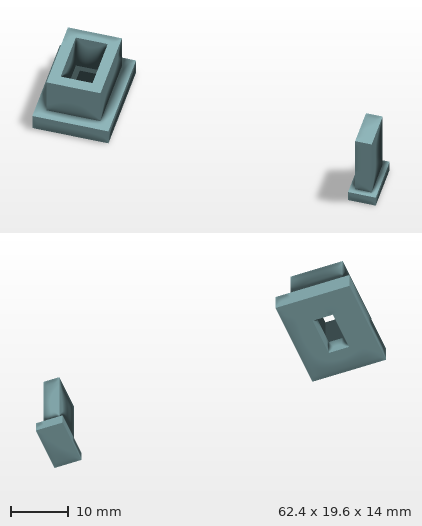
import cadquery as cq

TOTAL_X = 62.35
TOTAL_Y = 19.6

STEM_X = 3.0
STEM_Y = 7.0
PLUNGER_HEIGHT = 14.0
FOOT_THICKNESS = 2.0
LEDGE = 1.0
FOOT_X = STEM_X + 2 * LEDGE
FOOT_Y = STEM_Y + 2 * LEDGE

CLEARANCE = 0.75
WALL = 2.0
FLANGE_MARGIN = 2.0
FLANGE_THICKNESS = 3.0
HOUSING_HEIGHT = 10.0
WINDOW_X = STEM_X + CLEARANCE
WINDOW_Y = STEM_Y + CLEARANCE
POCKET_X = FOOT_X + CLEARANCE
POCKET_Y = FOOT_Y + CLEARANCE
COLLAR_X = POCKET_X + 2 * WALL
COLLAR_Y = POCKET_Y + 2 * WALL
FLANGE_X = COLLAR_X + 2 * FLANGE_MARGIN
FLANGE_Y = COLLAR_Y + 2 * FLANGE_MARGIN

PLUNGER_OFFSET_X = TOTAL_X - (FLANGE_X + FOOT_X) / 2
PLUNGER_OFFSET_Y = -(TOTAL_Y - (FLANGE_Y + FOOT_Y) / 2)


def block(size_x, size_y, bottom, top):
    """Rectangular block centered on the Z axis, from bottom to top."""
    return cq.Workplane("XY").workplane(offset=bottom).rect(size_x, size_y).extrude(top - bottom)


def make_housing():
    """Flanged collar with a pocket from the top and a smaller window through the floor."""
    flange = block(FLANGE_X, FLANGE_Y, 0, FLANGE_THICKNESS)
    collar = block(COLLAR_X, COLLAR_Y, 0, HOUSING_HEIGHT)
    pocket = block(POCKET_X, POCKET_Y, FLANGE_THICKNESS, HOUSING_HEIGHT)
    window = block(WINDOW_X, WINDOW_Y, 0, HOUSING_HEIGHT)
    return flange.union(collar).cut(pocket).cut(window)


def make_plunger():
    """Stem on a wider foot, standing beside the housing on the same plane."""
    foot = block(FOOT_X, FOOT_Y, 0, FOOT_THICKNESS)
    stem = block(STEM_X, STEM_Y, 0, PLUNGER_HEIGHT)
    return foot.union(stem).translate((PLUNGER_OFFSET_X, PLUNGER_OFFSET_Y, 0))


housing = make_housing()
plunger = make_plunger()

result = cq.Compound.makeCompound([housing.val(), plunger.val()])